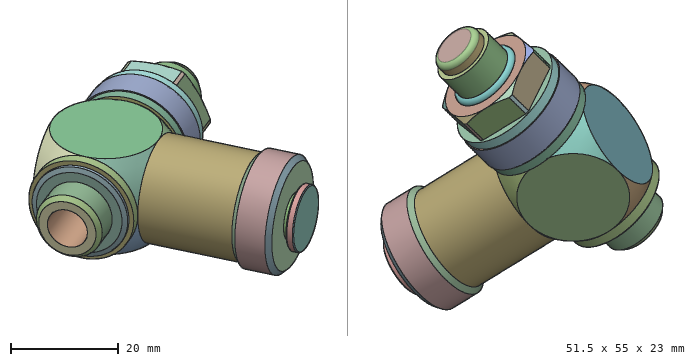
import math

import cadquery as cq

body_size = 21.0
body_half = body_size / 2
body_sphere_radius = body_half * math.sqrt(2)

stub_end = -19.5
stub_flange_end = -12.5
stub_flange_radius = body_half
seal_end = -13.5
seal_radius = 9.55
seal_bevel_length = 0.35
seal_bevel_depth = 1.0
stub_thread_radius = 6.58
stub_core_radius = 5.72
stub_chamfer_length = 1.0
bore_radius = 4.0

collar_band_radius = 11.5
collar_rim_radius = 11.25
collar_rim_width = 2.0
collar_end = 20.5
hex_flats = 19.0
hex_corner_radius = 10.75
hex_end = 26.2
hex_chamfer_angle = math.radians(30)
hex_half_sector = math.pi / 6
shoulder_radius = 7.0
shoulder_length = 1.0
shoulder_round = 0.95
tip_thread_radius = 6.0
tip_thread_end = 32.9
tip_radius = 5.0
tip_end = 35.5
tip_round = 1.1

arm_radius = body_half
head_radius = 11.5
head_chamfer = head_radius - arm_radius
head_start = 29.3
head_end = 37.3
neck_radius = 4.6
knob_radius = 6.5
knob_start = 38.4
knob_end = 40.0
knob_front_chamfer = 0.2
knob_back_chamfer = 0.3


def turned_about_y(start_y, end_y, radius):
    """Plain cylinder on the Y axis between two Y positions."""
    return cq.Workplane("XZ", origin=(0, start_y, 0)).circle(radius).extrude(start_y - end_y)


def turned_about_x(start_x, end_x, radius):
    """Plain cylinder on the X axis between two X positions."""
    return cq.Workplane("YZ", origin=(start_x, 0, 0)).circle(radius).extrude(end_x - start_x)


def make_body():
    """Cube with a flat round face on each side, its corners lying on the sphere."""
    cube = cq.Workplane("XY").box(body_size, body_size, body_size)
    return cube.intersect(cq.Workplane("XY").sphere(body_sphere_radius))


def make_stub():
    """Flange, bevelled sealing ring and chamfered threaded end, turned about Y."""
    seal_bevel_start = seal_end + seal_bevel_length
    profile = (
        cq.Workplane("XY")
        .moveTo(0, -body_half)
        .lineTo(stub_flange_radius, -body_half)
        .lineTo(stub_flange_radius, stub_flange_end)
        .lineTo(seal_radius, stub_flange_end)
        .lineTo(seal_radius, seal_bevel_start)
        .lineTo(seal_radius - seal_bevel_depth, seal_end)
        .lineTo(stub_thread_radius, seal_end)
        .lineTo(stub_thread_radius, stub_end + stub_chamfer_length)
        .lineTo(stub_core_radius, stub_end)
        .lineTo(0, stub_end)
        .close()
    )
    return profile.revolve(360, (0, 0, 0), (0, 1, 0))


def make_collar():
    """Collar with a wider band between two rims."""
    rims = turned_about_y(body_half, collar_end, collar_rim_radius)
    band = turned_about_y(body_half + collar_rim_width, collar_end - collar_rim_width, collar_band_radius)
    return rims.union(band)


def make_hexagon():
    """Hexagon with flats facing +Z and -Z, corners turned down and outer end bevelled."""
    corner_distance = hex_flats / math.cos(hex_half_sector)
    hexagon = (
        cq.Workplane("XZ", origin=(0, collar_end, 0))
        .polygon(6, corner_distance)
        .extrude(collar_end - hex_end)
    )
    bevel_start_radius = hex_flats / 2
    bevel_length = (hex_corner_radius - bevel_start_radius) * math.tan(hex_chamfer_angle)
    turned_envelope = (
        cq.Workplane("XY")
        .moveTo(0, collar_end)
        .lineTo(hex_corner_radius, collar_end)
        .lineTo(hex_corner_radius, hex_end - bevel_length)
        .lineTo(bevel_start_radius, hex_end)
        .lineTo(0, hex_end)
        .close()
        .revolve(360, (0, 0, 0), (0, 1, 0))
    )
    return hexagon.intersect(turned_envelope)


def make_tip():
    """Rounded shoulder, plain threaded length and rounded nose beyond the hexagon."""
    shoulder_end = hex_end + shoulder_length
    shoulder = turned_about_y(hex_end, shoulder_end, shoulder_radius)
    shoulder = shoulder.faces(">Y").edges().fillet(shoulder_round)
    thread = turned_about_y(hex_end, tip_thread_end, tip_thread_radius)
    nose = turned_about_y(tip_thread_end, tip_end, tip_radius)
    nose = nose.faces(">Y").edges().fillet(tip_round)
    return shoulder.union(thread).union(nose)


def make_arm():
    """Side arm with its wider head chamfered down to the barrel radius."""
    barrel = turned_about_x(body_half, head_start, arm_radius)
    head = turned_about_x(head_start, head_end, head_radius)
    head = head.faces("<X or >X").edges().chamfer(head_chamfer)
    return barrel.union(head)


def make_knob():
    """Thin neck carrying the adjusting disc."""
    neck = turned_about_x(head_end, knob_start, neck_radius)
    disc = turned_about_x(knob_start, knob_end, knob_radius)
    disc = disc.faces("<X").edges().chamfer(knob_back_chamfer)
    disc = disc.faces(">X").edges().chamfer(knob_front_chamfer)
    return neck.union(disc)


def make_bore():
    """Elbow passage: in through the stub, round a ball-shaped corner and into the arm."""
    inlet = turned_about_y(stub_end, 0, bore_radius)
    corner = cq.Workplane("XY").sphere(bore_radius)
    outlet = turned_about_x(0, body_half, bore_radius)
    return inlet.union(corner).union(outlet)


result = (
    make_body()
    .union(make_stub())
    .union(make_collar())
    .union(make_hexagon())
    .union(make_tip())
    .union(make_arm())
    .union(make_knob())
    .cut(make_bore())
)